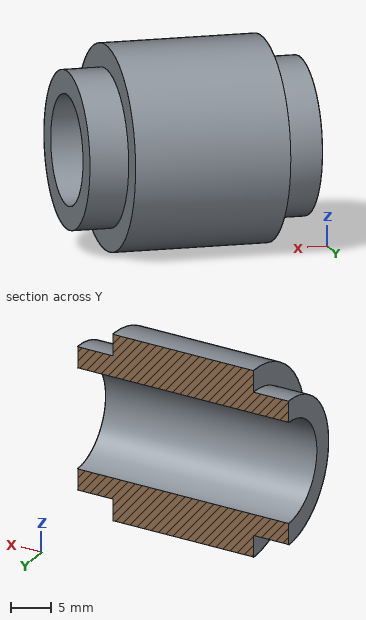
import cadquery as cq

total_length = 30.0
body_length = 20.0
body_diameter = 26.0
spigot_diameter = 20.0
bore_diameter = 14.0


def centred_cylinder(diameter, length):
    """Cylinder along X, centred on the origin."""
    start_plane = cq.Workplane("YZ").workplane(offset=-length / 2)
    return start_plane.circle(diameter / 2).extrude(length)


body = centred_cylinder(body_diameter, body_length)
spigots = centred_cylinder(spigot_diameter, total_length)
bore = centred_cylinder(bore_diameter, total_length)

result = body.union(spigots).cut(bore)